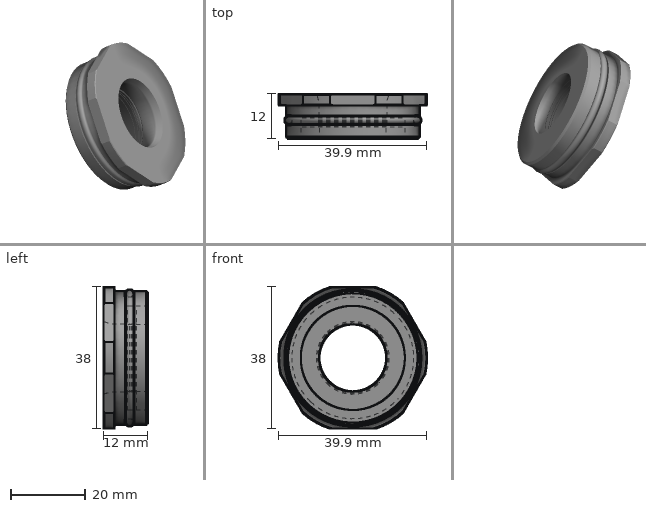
import cadquery as cq
import math


total_length = 12.0
hex_across_flats = 38.0
hex_corner_radius = 19.95
hex_thickness = 3.05
hex_chamfer_length = 0.25
hex_chamfer_depth = 0.15
body_radius = 18.0
front_chamfer = 0.6
shoulder_fillet = 0.15

groove_start = 3.67
groove_width = 2.6
groove_corner_fillet = 0.48
oring_outer_radius = 18.45
oring_section_radius = 1.05

pocket_radius = 14.0
ring_bore_radius = 8.98
washer_thickness = 3.2
seal_thickness = 2.35
seal_groove_width = 0.2
seal_groove_depth = 0.2
seal_groove_offsets = [0, 1.08, 1.65]

rear_bore_radius = 9.15
bore_edge_chamfer = 0.3
flare_start = 10.1
flare_radius = 9.78
flare_blend_radius = 1.2

hex_front = total_length - hex_thickness
seal_front = washer_thickness
pocket_depth = washer_thickness + seal_thickness
oring_center_radius = oring_outer_radius - oring_section_radius
groove_floor_radius = oring_center_radius - oring_section_radius


def revolve_about_y(profile):
    """Revolve a closed profile, drawn as (radius, y), about the Y axis."""
    return profile.close().revolve(360, (0, 0, 0), (0, 1, 0))


def ring(inner_radius, outer_radius, start, length):
    """Plain ring about the Y axis, from y = start."""
    return (
        cq.Workplane("XZ", origin=(0, start, 0))
        .circle(outer_radius)
        .circle(inner_radius)
        .extrude(-length)
    )


def make_hex_flange():
    """Hexagon with two flats facing Z, its corners turned round and chamfered."""
    corner_circle = hex_across_flats / math.cos(math.pi / 6)
    hexagon = (
        cq.Workplane("XZ", origin=(0, hex_front, 0))
        .polygon(6, corner_circle)
        .extrude(-hex_thickness)
    )
    chamfered_radius = hex_corner_radius - hex_chamfer_depth
    turned_blank = revolve_about_y(
        cq.Workplane("XY")
        .moveTo(0, hex_front)
        .lineTo(chamfered_radius, hex_front)
        .lineTo(hex_corner_radius, hex_front + hex_chamfer_length)
        .lineTo(hex_corner_radius, total_length - hex_chamfer_length)
        .lineTo(chamfered_radius, total_length)
        .lineTo(0, total_length)
    )
    return hexagon.intersect(turned_blank)


def make_body_cylinder():
    """Round body with a chamfered front edge and a small fillet against the hexagon."""
    return revolve_about_y(
        cq.Workplane("XY")
        .lineTo(body_radius - front_chamfer, 0)
        .lineTo(body_radius, front_chamfer)
        .lineTo(body_radius, hex_front - shoulder_fillet)
        .radiusArc((body_radius + shoulder_fillet, hex_front), shoulder_fillet)
        .lineTo(body_radius + shoulder_fillet, total_length)
        .lineTo(0, total_length)
    )


def make_bore_cutter():
    """Front pocket, chamfered rear bore and the flare that widens to the rear face."""
    flare_angle = math.atan2(flare_radius - rear_bore_radius, total_length - flare_start)
    blend_reach = flare_blend_radius * math.tan(flare_angle / 2)
    blend_end = (
        rear_bore_radius + blend_reach * math.sin(flare_angle),
        flare_start + blend_reach * math.cos(flare_angle),
    )
    return revolve_about_y(
        cq.Workplane("XY")
        .lineTo(pocket_radius, 0)
        .lineTo(pocket_radius, pocket_depth)
        .lineTo(rear_bore_radius + bore_edge_chamfer, pocket_depth)
        .lineTo(rear_bore_radius, pocket_depth + bore_edge_chamfer)
        .lineTo(rear_bore_radius, flare_start - blend_reach)
        .radiusArc(blend_end, flare_blend_radius)
        .lineTo(flare_radius, total_length)
        .lineTo(0, total_length)
    )


def make_oring_groove_cutter():
    """Square-sided groove with rounded corners at its floor."""
    groove = ring(groove_floor_radius, hex_corner_radius, groove_start, groove_width)
    floor_edges = cq.selectors.RadiusNthSelector(0)
    return groove.edges(floor_edges).fillet(groove_corner_fillet)


def make_housing():
    """Hexagon-headed body with the O-ring groove and the stepped bore."""
    blank = make_body_cylinder().union(make_hex_flange())
    return blank.cut(make_oring_groove_cutter()).cut(make_bore_cutter())


def make_oring():
    """Round-section ring that rests on the groove floor, midway along the groove."""
    return (
        cq.Workplane("XY")
        .center(oring_center_radius, groove_start + groove_width / 2)
        .circle(oring_section_radius)
        .revolve(360, (-oring_center_radius, 0, 0), (-oring_center_radius, 1, 0))
    )


def make_washer():
    """Plain ring, flush with the front face."""
    return ring(ring_bore_radius, pocket_radius, 0, washer_thickness)


def make_seal_ring():
    """Ring behind the washer, with fine grooves in its bore, the first at its front face."""
    seal = ring(ring_bore_radius, pocket_radius, seal_front, seal_thickness)
    bottom_radius = ring_bore_radius + seal_groove_depth
    for offset in seal_groove_offsets:
        groove = (
            cq.Workplane("XZ", origin=(0, seal_front + offset, 0))
            .circle(bottom_radius)
            .extrude(-seal_groove_width)
        )
        seal = seal.cut(groove)
    return seal


housing = make_housing()
oring = make_oring()
washer = make_washer()
seal_ring = make_seal_ring()

result = cq.Compound.makeCompound([housing.val(), oring.val(), washer.val(), seal_ring.val()])